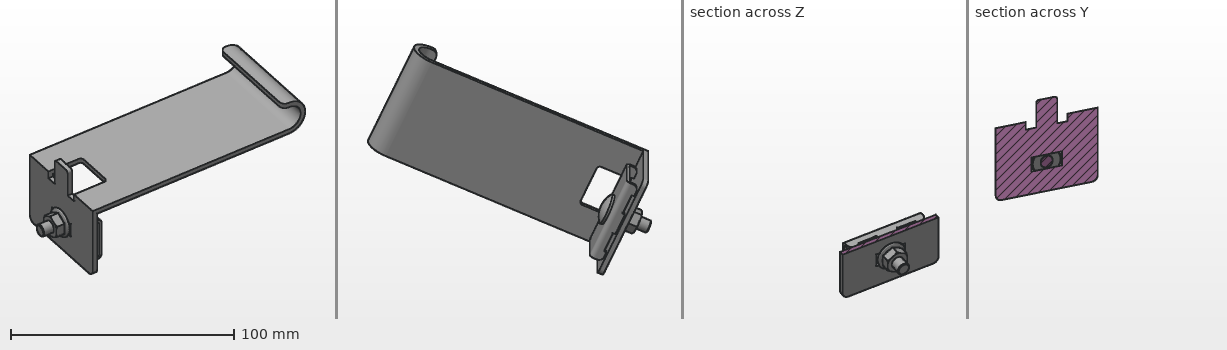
import cadquery as cq
import math


hook_width = 50.0
sheet = 2.5
hook_height = 52.0
overall_length = 126.8
hook_length = 115.3
curl_diameter = 17.5
curl_tip_length = 3.4
corner_radius = 3.0
strip_bottom = hook_height - curl_diameter
strip_top = strip_bottom + sheet

window_width = 20.3
window_length = 18.0
window_radius = 1.5
window_sill = 33.2
tongue_width = 10.4
tongue_top = 46.9
tongue_radius = 1.5

bolt_height = 15.0
slot_width = 15.0
slot_height = 7.0

bracket_width = 40.0
bracket_height = 21.8
bracket_depth = 6.0
bracket_sheet = 1.5
bracket_bend_radius = 2.4
bracket_corner_radius = 2.5
foot_width = tongue_width
end_foot_width = 5.1
flange_notch_depth = 1.0
relief_radius = 0.4

bolt_diameter = 6.0
bolt_end_y = hook_length - overall_length
bolt_chamfer = 0.4
head_diameter = 14.2
head_rim = 1.1
head_dome = 2.4
neck_length = 2.0

nut_height = 6.0
nut_across_flats = 10.0
nut_flange_diameter = 14.2
nut_flange_rim = 1.1
nut_flange_rim_bulge = 0.4
nut_flange_height = 1.6
nut_flange_top_diameter = 10.7
nut_chamfer = 0.5

plate_back = sheet
bracket_back = plate_back + bracket_depth
bracket_web_front = bracket_back - bracket_sheet
bracket_bottom = bolt_height - bracket_height / 2


def box(x_size, y_range, z_range):
    """Box centred on X = 0 between the given Y and Z limits."""
    y_size = y_range[1] - y_range[0]
    z_size = z_range[1] - z_range[0]
    return (
        cq.Workplane("XY")
        .box(x_size, y_size, z_size, centered=(True, False, False))
        .translate((0, y_range[0], z_range[0]))
    )


def cylinder(diameter, y_start, y_end):
    """Round bar on the bolt axis from y_start forward to y_end."""
    return (
        cq.Workplane("XZ", origin=(0, y_start, bolt_height))
        .circle(diameter / 2)
        .extrude(y_start - y_end)
    )


def make_hook():
    outer_radius = curl_diameter / 2
    inner_radius = outer_radius - sheet
    curl_y = hook_length - outer_radius
    curl_z = strip_bottom + outer_radius
    tip_y = curl_y - curl_tip_length
    body = (
        cq.Workplane("YZ")
        .moveTo(0, 0)
        .lineTo(0, strip_top)
        .lineTo(curl_y, strip_top)
        .threePointArc((curl_y + inner_radius, curl_z), (curl_y, hook_height - sheet))
        .lineTo(tip_y, hook_height - sheet)
        .lineTo(tip_y, hook_height)
        .lineTo(curl_y, hook_height)
        .threePointArc((curl_y + outer_radius, curl_z), (curl_y, strip_bottom))
        .lineTo(sheet, strip_bottom)
        .lineTo(sheet, 0)
        .close()
        .extrude(hook_width / 2, both=True)
    )

    plate_corners = cq.selectors.BoxSelector((-hook_width, -sheet, -sheet), (hook_width, 2 * sheet, sheet))
    body = body.edges("|Y").edges(plate_corners).fillet(corner_radius)
    tip_corners = cq.selectors.BoxSelector(
        (-hook_width, tip_y - sheet / 2, curl_z), (hook_width, tip_y + sheet / 2, 2 * hook_height)
    )
    body = body.edges("|Z").edges(tip_corners).fillet(corner_radius)

    window = box(window_width, (-sheet, window_length), (window_sill, strip_top + sheet))
    window = window.edges("|Z and >Y").fillet(window_radius)
    body = body.cut(window)

    tongue = box(tongue_width, (0, sheet), (window_sill, tongue_top))
    tongue = tongue.edges("|Y and >Z").fillet(tongue_radius)
    body = body.union(tongue)

    slot_bottom = bolt_height - slot_height / 2
    return body.cut(box(slot_width, (-sheet, 2 * sheet), (slot_bottom, slot_bottom + slot_height)))


def make_bracket():
    bracket_top = bracket_bottom + bracket_height
    outer = box(bracket_width, (plate_back, bracket_back), (bracket_bottom, bracket_top))
    outer = outer.edges("|X and >Y").fillet(bracket_bend_radius)
    inner = box(
        bracket_width,
        (plate_back, bracket_web_front),
        (bracket_bottom + bracket_sheet, bracket_top - bracket_sheet),
    )
    inner = inner.edges("|X and >Y").fillet(bracket_bend_radius - bracket_sheet)
    body = outer.cut(inner)

    free_ends = body.edges("|Z and <Y").edges("<X or >X")
    body = free_ends.fillet(bracket_corner_radius)

    notch_start = foot_width / 2
    notch_end = bracket_width / 2 - end_foot_width
    notch_y = plate_back + flange_notch_depth
    for side in (-1, 1):
        notch = box(notch_end - notch_start, (plate_back, notch_y), (bracket_bottom, bracket_top))
        body = body.cut(notch.translate((side * (notch_start + notch_end) / 2, 0, 0)))
        relief = (
            cq.Workplane("XY", origin=(side * (notch_start + relief_radius), notch_y, bracket_bottom))
            .circle(relief_radius)
            .extrude(bracket_height)
        )
        body = body.cut(relief)

    half_neck = bolt_diameter / 2
    return body.cut(
        box(bolt_diameter, (bracket_web_front, bracket_back), (bolt_height - half_neck, bolt_height + half_neck))
    )


def make_bolt():
    shank_radius = bolt_diameter / 2
    head_radius = head_diameter / 2
    rim_y = bracket_back + head_rim
    dome_radius = (head_radius**2 + head_dome**2) / (2 * head_dome)
    dome_centre_y = rim_y + head_dome - dome_radius
    mid_x = head_radius / 2
    mid_y = dome_centre_y + math.sqrt(dome_radius**2 - mid_x**2)
    turned = (
        cq.Workplane("XY", origin=(0, 0, bolt_height))
        .moveTo(0, bolt_end_y)
        .lineTo(shank_radius - bolt_chamfer, bolt_end_y)
        .lineTo(shank_radius, bolt_end_y + bolt_chamfer)
        .lineTo(shank_radius, bracket_back)
        .lineTo(head_radius, bracket_back)
        .lineTo(head_radius, rim_y)
        .threePointArc((mid_x, mid_y), (0, rim_y + head_dome))
        .close()
        .revolve(360, (0, 0, 0), (0, 1, 0))
    )

    neck = box(
        bolt_diameter,
        (bracket_back - neck_length, bracket_back),
        (bolt_height - shank_radius, bolt_height + shank_radius),
    )
    return turned.union(neck)


def make_nut():
    across_corners = nut_across_flats / math.cos(math.radians(30))
    hexagon = (
        cq.Workplane("XZ", origin=(0, 0, bolt_height))
        .transformed(rotate=(0, 0, 30))
        .polygon(6, across_corners)
        .extrude(nut_height)
    )
    hexagon = hexagon.intersect(cylinder(across_corners, 0, -nut_height).faces("<Y").chamfer(nut_chamfer))

    rim_radius = nut_flange_diameter / 2
    rim_edge_radius = rim_radius - nut_flange_rim_bulge
    flange = (
        cq.Workplane("XY", origin=(0, 0, bolt_height))
        .moveTo(0, 0)
        .lineTo(rim_edge_radius, 0)
        .threePointArc((rim_radius, -nut_flange_rim / 2), (rim_edge_radius, -nut_flange_rim))
        .lineTo(nut_flange_top_diameter / 2, -nut_flange_height)
        .lineTo(0, -nut_flange_height)
        .close()
        .revolve(360, (0, 0, 0), (0, 1, 0))
    )
    return hexagon.union(flange).cut(cylinder(bolt_diameter, 0, -nut_height))


hook = make_hook()
bracket = make_bracket()
bolt = make_bolt()
nut = make_nut()

result = cq.Compound.makeCompound([hook.val(), bracket.val(), bolt.val(), nut.val()])